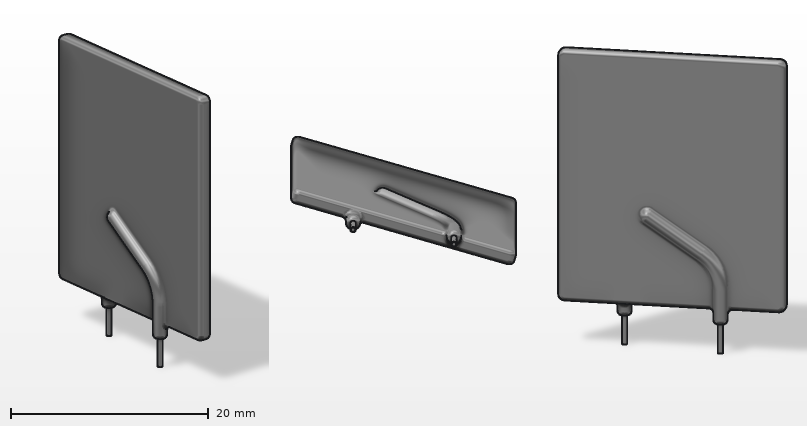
import cadquery as cq
import math

overall_height = 30.9
overall_depth = 2.9

body_width = 23.5
body_thickness = 1.5
lead_reach = 4.5
body_height = overall_height - lead_reach
body_corner_radius = 0.7
body_edge_radius = 0.5

lead_diameter = 0.55
lead_tip_chamfer = 0.05
lead_x = 5.1
sleeve_radius = 0.75
sleeve_y = overall_depth / 2 - sleeve_radius
sleeve_reach = 1.45
sleeve_end_radius = 0.5
blend_radius = 0.5
seam_tolerance = 0.0003

bend_start_z = 2.25
bend_radius = 4.23
bend_angle = math.radians(57)
sloped_length = 6.65


def make_body():
    slab = cq.Workplane("XY").box(
        body_width, body_thickness, body_height, centered=(True, True, False)
    )
    return slab.edges("|Y").fillet(body_corner_radius).faces("<Y or >Y").edges().fillet(body_edge_radius)


def bend_point(angle):
    """Point (X, Z) on the bend after turning by the given angle."""
    return (
        lead_x - bend_radius * (1 - math.cos(angle)),
        bend_start_z + bend_radius * math.sin(angle),
    )


def make_sleeve():
    """Bent round sleeve on the -Y face, with a domed upper end."""
    bend_end = bend_point(bend_angle)
    tip = (
        bend_end[0] - sloped_length * math.sin(bend_angle),
        bend_end[1] + sloped_length * math.cos(bend_angle),
    )
    path = (
        cq.Workplane("XZ", origin=(0, -sleeve_y, 0))
        .moveTo(lead_x, -sleeve_reach)
        .lineTo(lead_x, bend_start_z)
        .threePointArc(bend_point(bend_angle / 2), bend_end)
        .lineTo(*tip)
    )
    tube = (
        cq.Workplane("XY", origin=(lead_x, -sleeve_y, -sleeve_reach))
        .circle(sleeve_radius)
        .sweep(path)
    )
    tube = tube.faces("<Z").edges().fillet(sleeve_end_radius)
    dome = cq.Workplane("XY").sphere(sleeve_radius).translate((tip[0], -sleeve_y, tip[1]))
    return tube.union(dome)


def make_lead():
    lead = (
        cq.Workplane("XY", origin=(lead_x, -sleeve_y, -lead_reach))
        .circle(lead_diameter / 2)
        .extrude(lead_reach)
    )
    return lead.faces("<Z").edges().chamfer(lead_tip_chamfer)


def turned_copy(shape):
    """Matching shape on the opposite face, half a turn about Z."""
    return shape.rotate((0, 0, 0), (0, 0, 1), 180)


def blend_edges(shape, sleeve, body):
    """Edges of the joined shape where a sleeve meets the body."""
    seam = []
    for edge in shape.edges().vals():
        middle = edge.positionAt(0.5)
        vertex = cq.Vertex.makeVertex(*middle.toTuple())
        on_sleeve = min(f.distance(vertex) for f in sleeve.faces().vals()) < seam_tolerance
        on_body = min(f.distance(vertex) for f in body.faces().vals()) < seam_tolerance
        if on_sleeve and on_body:
            seam.append(edge)
    return seam


body = make_body()
sleeve = make_sleeve()
coated = body.union(sleeve)
coated = coated.newObject(blend_edges(coated, sleeve, body)).fillet(blend_radius)
other_sleeve = turned_copy(sleeve)
coated = coated.union(other_sleeve)
coated = coated.newObject(blend_edges(coated, other_sleeve, body)).fillet(blend_radius)
lead = make_lead()
result = coated.union(lead).union(turned_copy(lead))